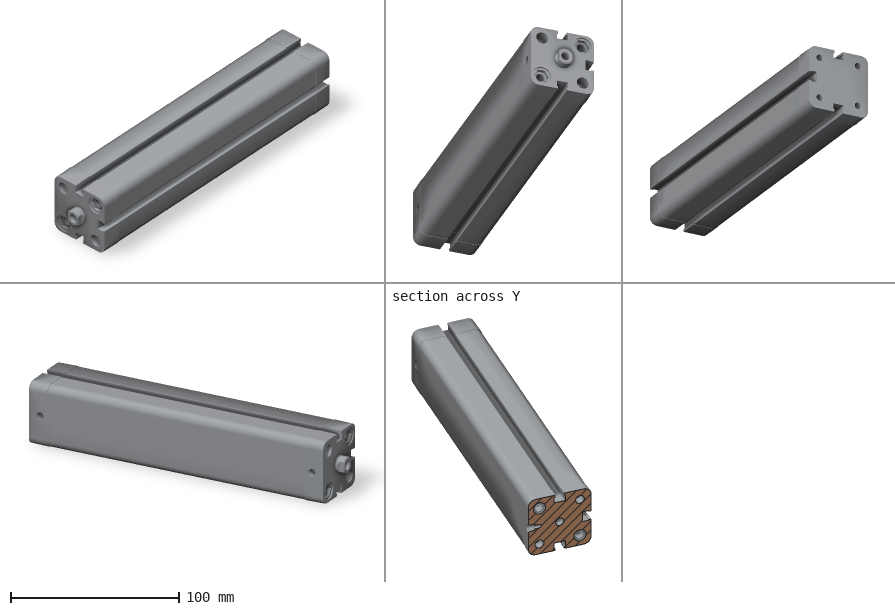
import cadquery as cq
import math

total_length = 205.0
width = 40.4
rod_reach = 5.7
cap_length = 12.7
barrel_width = 40.0
cap_draft_angle = 1.0
corner_radius = 5.0
tip_y = -total_length / 2
front_y = tip_y + rod_reach
rear_y = total_length / 2
barrel_front_y = front_y + cap_length
barrel_rear_y = rear_y - cap_length

slot_neck_width = 5.7
slot_neck_depth = 1.8
slot_width = 6.8
slot_depth = 5.5
slot_lip_radius = 0.5

hole_offset = 13.0
through_diameter = 4.0
cap_hole_diameter = 5.3
plain_bore_diameter = 7.5
plain_bore_depth = 8.2
screw_recess_diameter = 11.0
screw_recess_depth = 1.0
screw_socket_width = 8.0
screw_socket_depth = 3.0

rod_diameter = 10.5
rod_chamfer = 0.6
flat_width = 8.2
flat_start = 1.5
rod_hole_diameter = 5.0
rod_hole_depth = 16.5
rod_hole_mouth = 6.2

port_offset = 7.5
port_mouth_diameter = 5.3
port_mouth_depth = 0.8
port_diameter = 4.0
port_depth = 4.0
passage_diameter = 2.0
passage_depth = 8.2


def cylinder_y(diameter, start_y, depth, x=0, z=0):
    """Cylinder along +Y from start_y."""
    base = cq.Vector(x, start_y, z)
    return cq.Workplane(cq.Solid.makeCylinder(diameter / 2, depth, base, cq.Vector(0, 1, 0)))


def box_between(x_size, y_start, y_end, z_start, z_end):
    """Box centred on X = 0 between the given Y and Z limits."""
    return (
        cq.Workplane()
        .box(x_size, y_end - y_start, z_end - z_start, centered=(True, False, False))
        .translate((0, y_start, z_start))
    )


def end_cap(seam_y, outward):
    """End cap that narrows by the draft angle from full width at its seam with the barrel."""
    plane = cq.Plane(origin=(0, seam_y, 0), xDir=(1, 0, 0), normal=(0, outward, 0))
    outline = cq.Sketch().rect(width, width).vertices().fillet(corner_radius)
    return cq.Workplane(plane).placeSketch(outline).extrude(cap_length, taper=cap_draft_angle)


def barrel():
    length = barrel_rear_y - barrel_front_y
    block = cq.Workplane().box(barrel_width, length, barrel_width, centered=(True, False, True))
    return block.translate((0, barrel_front_y, 0)).edges("|Y").fillet(corner_radius)


def top_slot():
    """T-slot cutter for the top side, with rounded lips and a slightly lower floor along the barrel."""
    top = width / 2
    neck = box_between(slot_neck_width, front_y, rear_y, top - slot_depth, top)
    wide = box_between(slot_width, front_y, rear_y, top - slot_depth, top - slot_neck_depth)
    barrel_top = barrel_width / 2
    barrel_floor = box_between(
        slot_width, barrel_front_y, barrel_rear_y, barrel_top - slot_depth, barrel_top - slot_neck_depth
    )
    half_neck = slot_neck_width / 2
    half_mouth = half_neck + slot_lip_radius
    lip_bottom = barrel_top - slot_lip_radius
    arc_inset = slot_lip_radius * (1 - math.sqrt(0.5))
    lips = (
        cq.Workplane("XZ", origin=(0, barrel_rear_y, 0))
        .moveTo(-half_mouth, barrel_top)
        .lineTo(half_mouth, barrel_top)
        .threePointArc((half_neck + arc_inset, barrel_top - arc_inset), (half_neck, lip_bottom))
        .lineTo(-half_neck, lip_bottom)
        .threePointArc((-half_neck - arc_inset, barrel_top - arc_inset), (-half_mouth, barrel_top))
        .close()
        .extrude(barrel_rear_y - barrel_front_y)
    )
    return neck.union(wide).union(barrel_floor).union(lips)


def corner_hole(x, z, mouth_diameter, mouth_depth):
    """Full-length hole with a wider stretch in the front cap and a round mouth."""
    through = cylinder_y(through_diameter, front_y, rear_y - front_y, x, z)
    cap_hole = cylinder_y(cap_hole_diameter, front_y, cap_length, x, z)
    return through.union(cap_hole).union(cylinder_y(mouth_diameter, front_y, mouth_depth, x, z))


def hex_socket(x, z):
    across_corners = screw_socket_width / math.cos(math.pi / 6)
    return cq.Workplane("XZ", origin=(x, front_y, z)).polygon(6, across_corners).extrude(-screw_socket_depth)


def rod_end():
    """Chamfered rod end with two wrench flats that run out at 45 degrees."""
    rod = cylinder_y(rod_diameter, tip_y, rod_reach).faces("<Y").chamfer(rod_chamfer)
    shoulder_y = front_y - flat_start
    half_flat = flat_width / 2
    half_rod = rod_diameter / 2
    runout_y = shoulder_y - (half_rod - half_flat)
    flats_outline = (
        cq.Workplane("XY", origin=(0, 0, -half_rod))
        .polyline([
            (-half_rod, front_y),
            (-half_rod, shoulder_y),
            (-half_flat, runout_y),
            (-half_flat, tip_y),
            (half_flat, tip_y),
            (half_flat, runout_y),
            (half_rod, shoulder_y),
            (half_rod, front_y),
        ])
        .close()
        .extrude(rod_diameter)
    )
    return rod.intersect(flats_outline)


def rod_hole():
    mouth_chamfer = (rod_hole_mouth - rod_hole_diameter) / 2
    mouth = cq.Solid.makeCone(
        rod_hole_mouth / 2, rod_hole_diameter / 2, mouth_chamfer, cq.Vector(0, tip_y, 0), cq.Vector(0, 1, 0)
    )
    return cylinder_y(rod_hole_diameter, tip_y, rod_hole_depth).union(cq.Workplane(mouth))


def air_port(y):
    """Stepped round cutter entering the -X side."""
    steps = (
        (port_mouth_diameter, port_mouth_depth),
        (port_diameter, port_depth),
        (passage_diameter, passage_depth),
    )
    cutter = cq.Workplane()
    for diameter, depth in steps:
        side = cq.Vector(-width / 2, y, 0)
        cutter = cutter.add(cq.Solid.makeCylinder(diameter / 2, depth, side, cq.Vector(1, 0, 0)))
    return cutter.combine()


result = barrel().union(end_cap(barrel_front_y, -1)).union(end_cap(barrel_rear_y, 1))

slot = top_slot()
for angle in (0, 90, 180):
    result = result.cut(slot.rotate((0, 0, 0), (0, 1, 0), angle))

for side in (-1, 1):
    offset = side * hole_offset
    result = result.cut(corner_hole(offset, -offset, plain_bore_diameter, plain_bore_depth))
    result = result.cut(corner_hole(offset, offset, screw_recess_diameter, screw_recess_depth))
    result = result.cut(hex_socket(offset, offset))

result = result.union(rod_end()).cut(rod_hole())

for port_y in (front_y + port_offset, rear_y - port_offset):
    result = result.cut(air_port(port_y))